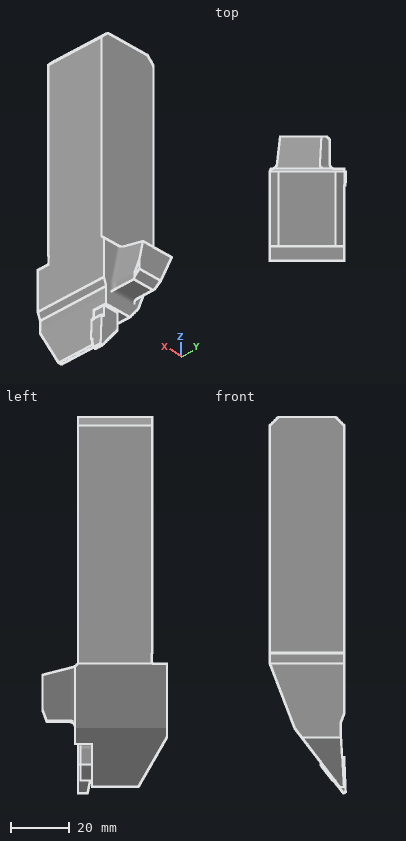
import cadquery as cq
import math


TOOL_LENGTH = 128.0
SHANK_SIDE = 25.3
SHANK_FRONT = 5.0
SHANK_BACK = SHANK_FRONT + SHANK_SIDE
SHANK_CHAMFER = 3.0

RELIEF_DEPTH = 0.1
RELIEF_HEIGHT = 3.7
RELIEF_RAMP = 0.4
RELIEF_FILLET = 0.4

HEAD_TOP = 44.2
HEAD_BOTTOM = 2.2
HEAD_BACK = 31.4
SIDE_KINK_X = 8.5
SIDE_KINK_Z = 22.1
LOWER_SIDE_ANGLE = 52.5
FRONT_SLOPE_TOP = 19.1
FRONT_SLOPE_ANGLE = 60.0
RAKE_X = 24.2
RAKE_STEP_TOP = 27.1
RAKE_STEP_BOTTOM = 24.0
RAKE_BEND_Z = 20.5
RAKE_BOTTOM_X = 25.2
BACK_CHAMFER = HEAD_BACK - SHANK_BACK

LUG_BACK = 42.4
LUG_BOTTOM = 24.2
LUG_RIGHT = 20.5
LUG_TOP_BACK = 40.3
LUG_LEFT_TOP_X = 1.8
LUG_LEFT_ANGLE = 66.0
LUG_FACET_TOP_X = 16.8
LUG_FACET_ANGLE = 78.0
LUG_HEEL_DEPTH = 1.5
LUG_HEEL_HEIGHT = 4.1
LUG_EDGE_CHAMFER = 1.2
LUG_CORNER_CHAMFER = 0.5
LUG_FILLET_DIAMETER = 3.0
LUG_FILLET = LUG_FILLET_DIAMETER / 2

SEAT_FLOOR = 25.6
SEAT_TOP = 16.8
INSERT_BACK = SHANK_BACK
INSERT_LEFT = 17.5
INSERT_LEFT_BOTTOM = 9.9
INSERT_HEEL_X = 17.9
INSERT_HEEL_Z = 9.1
INSERT_FACE_TOP_X = 25.3
INSERT_FACE_TOP_Z = 12.4
TIP_X = 25.9
TIP_Z = 0.5
TIP_BOTTOM_X = 25.1
TIP_RELIEF_TOP = 0.5
TIP_RELIEF_BOTTOM = 1.4
PAD_TOP = 16.0
PAD_BOTTOM = 4.4
PAD_BACK = 29.5
PAD_HEIGHT = 0.3
PAD_TOP_SLOPE = 0.9


def run(rise, angle):
    """Horizontal distance over which a slope at this angle climbs the given rise."""
    return rise / math.tan(math.radians(angle))


def prism_along_y(points, start, end):
    """Extrude an X-Z outline from Y = start to Y = end."""
    return cq.Workplane("XZ", origin=(0, start, 0)).polyline(points).close().extrude(start - end)


def prism_along_x(points, start, end):
    """Extrude a Y-Z outline from X = start to X = end."""
    return cq.Workplane("YZ", origin=(start, 0, 0)).polyline(points).close().extrude(end - start)


def make_shank():
    shank = prism_along_x(
        [
            (SHANK_FRONT, TOOL_LENGTH),
            (SHANK_BACK, TOOL_LENGTH),
            (SHANK_BACK, HEAD_TOP),
            (SHANK_FRONT + RELIEF_DEPTH, HEAD_TOP),
            (SHANK_FRONT + RELIEF_DEPTH, HEAD_TOP + RELIEF_HEIGHT - RELIEF_RAMP),
            (SHANK_FRONT, HEAD_TOP + RELIEF_HEIGHT),
        ],
        0,
        SHANK_SIDE,
    )
    return shank.faces(">Z").edges("|Y").chamfer(SHANK_CHAMFER)


def make_head_block():
    """The X-Z outline of the head, before its front and top are sloped."""
    lower_side_run = run(SIDE_KINK_Z - HEAD_BOTTOM, LOWER_SIDE_ANGLE)
    return prism_along_y(
        [
            (0, HEAD_TOP),
            (SIDE_KINK_X, SIDE_KINK_Z),
            (SIDE_KINK_X + lower_side_run, HEAD_BOTTOM),
            (RAKE_BOTTOM_X, HEAD_BOTTOM),
            (RAKE_X, RAKE_BEND_Z),
            (RAKE_X, RAKE_STEP_BOTTOM),
            (SHANK_SIDE, RAKE_STEP_TOP),
            (SHANK_SIDE, HEAD_TOP),
        ],
        0,
        HEAD_BACK,
    )


def make_lug_block():
    """The X-Z outline of the lug, before its top and heel are sloped."""
    corner_z = LUG_BOTTOM + LUG_CORNER_CHAMFER
    corner_x = LUG_LEFT_TOP_X + run(HEAD_TOP - corner_z, LUG_LEFT_ANGLE)
    facet_drop = (LUG_RIGHT - LUG_FACET_TOP_X) * math.tan(math.radians(LUG_FACET_ANGLE))
    block = prism_along_y(
        [
            (LUG_LEFT_TOP_X, HEAD_TOP),
            (corner_x, corner_z),
            (corner_x + LUG_CORNER_CHAMFER, LUG_BOTTOM),
            (LUG_RIGHT, LUG_BOTTOM),
            (LUG_RIGHT, HEAD_TOP - facet_drop),
            (LUG_FACET_TOP_X, HEAD_TOP),
        ],
        HEAD_BACK,
        LUG_BACK,
    )
    return block.faces(">X").edges(">Y").chamfer(LUG_EDGE_CHAMFER)


def make_head():
    """The head and its lug, joined with a fillet and trimmed to their common Y-Z outline."""
    margin = 0.4
    slope_mid_x = SIDE_KINK_X / 2
    lug_root = cq.selectors.BoxSelector(
        (slope_mid_x + margin, HEAD_BACK - margin, LUG_BOTTOM - margin),
        (LUG_RIGHT + margin, HEAD_BACK + margin, HEAD_TOP - margin),
    )
    blocks = make_head_block().union(make_lug_block()).edges(lug_root).fillet(LUG_FILLET)
    side_outline = prism_along_x(
        [
            (0, HEAD_TOP),
            (0, FRONT_SLOPE_TOP),
            (run(FRONT_SLOPE_TOP - HEAD_BOTTOM, FRONT_SLOPE_ANGLE), HEAD_BOTTOM),
            (HEAD_BACK, HEAD_BOTTOM),
            (HEAD_BACK, LUG_BOTTOM - LUG_FILLET),
            (LUG_BACK - LUG_HEEL_DEPTH, LUG_BOTTOM - LUG_FILLET),
            (LUG_BACK - LUG_HEEL_DEPTH, LUG_BOTTOM),
            (LUG_BACK, LUG_BOTTOM + LUG_HEEL_HEIGHT),
            (LUG_BACK, LUG_TOP_BACK),
            (HEAD_BACK, HEAD_TOP - BACK_CHAMFER),
            (SHANK_BACK, HEAD_TOP),
        ],
        0,
        SHANK_SIDE,
    )
    return blocks.intersect(side_outline)


def make_seat():
    """The notch for the insert, open to the tip, to the back and to both sides."""
    seat = cq.Workplane("XY").box(TIP_X, HEAD_BACK - SEAT_FLOOR, SEAT_TOP, centered=False)
    return seat.translate((0, SEAT_FLOOR, 0))


def make_holder():
    """The shank and head as one solid, with a fillet at the foot of the relief and the insert seat cut out."""
    body = make_shank().union(make_head())
    relief_corner = cq.selectors.BoxSelector(
        (0, SHANK_FRONT, HEAD_TOP - RELIEF_DEPTH),
        (SHANK_SIDE, SHANK_FRONT + 2 * RELIEF_DEPTH, HEAD_TOP + RELIEF_DEPTH),
    )
    body = body.edges(relief_corner).fillet(RELIEF_FILLET)
    return body.cut(make_seat())


def make_insert():
    """A plate filling the back of the seat, with a relieved tip and a raised pad."""
    outline = [
        (RAKE_X, SEAT_TOP),
        (INSERT_LEFT, SEAT_TOP),
        (INSERT_LEFT, INSERT_LEFT_BOTTOM),
        (INSERT_HEEL_X, INSERT_HEEL_Z),
        (TIP_BOTTOM_X, 0),
        (TIP_X, TIP_Z),
        (INSERT_FACE_TOP_X, INSERT_FACE_TOP_Z),
        (RAKE_X, INSERT_FACE_TOP_Z),
    ]
    body = prism_along_y(outline, SEAT_FLOOR, INSERT_BACK)

    tip_relief = prism_along_x(
        [
            (SEAT_FLOOR, PAD_BOTTOM),
            (SEAT_FLOOR + TIP_RELIEF_TOP, PAD_BOTTOM),
            (SEAT_FLOOR + TIP_RELIEF_BOTTOM, 0),
            (SEAT_FLOOR, 0),
        ],
        INSERT_LEFT,
        TIP_X,
    )

    pad_left = INSERT_LEFT - PAD_HEIGHT
    underside_run = (TIP_BOTTOM_X - INSERT_HEEL_X) / INSERT_HEEL_Z
    pad_end_x = TIP_BOTTOM_X - PAD_BOTTOM * underside_run
    pad = prism_along_y(
        [
            (INSERT_LEFT, PAD_TOP),
            (pad_left, PAD_TOP - PAD_TOP_SLOPE),
            (pad_left, INSERT_LEFT_BOTTOM),
            (INSERT_HEEL_X - PAD_HEIGHT, INSERT_HEEL_Z),
            (pad_end_x - PAD_HEIGHT, PAD_BOTTOM),
            (RAKE_X, PAD_BOTTOM),
            (RAKE_X, PAD_TOP),
        ],
        SEAT_FLOOR,
        PAD_BACK,
    )
    return body.cut(tip_relief).union(pad)


holder = make_holder()
insert = make_insert()
result = cq.Compound.makeCompound([holder.solids().val(), insert.solids().val()])